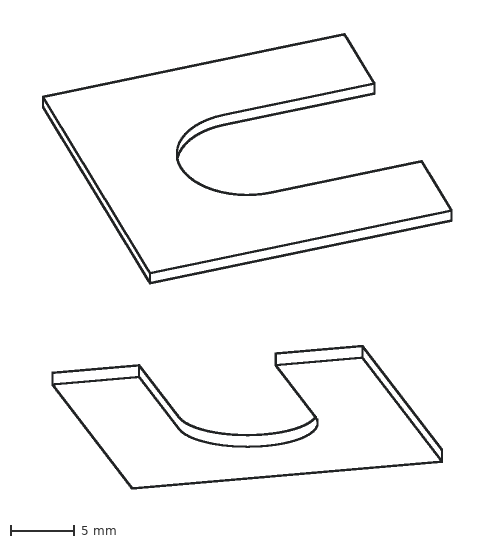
import cadquery as cq

side = 25.4
thickness = 1.0
slot_width = 11.18

slot_radius = slot_width / 2
half_side = side / 2

result = (
    cq.Workplane("XY")
    .moveTo(-half_side, -half_side)
    .lineTo(half_side, -half_side)
    .lineTo(half_side, half_side)
    .lineTo(slot_radius, half_side)
    .lineTo(slot_radius, 0)
    .threePointArc((0, -slot_radius), (-slot_radius, 0))
    .lineTo(-slot_radius, half_side)
    .lineTo(-half_side, half_side)
    .close()
    .extrude(thickness)
)